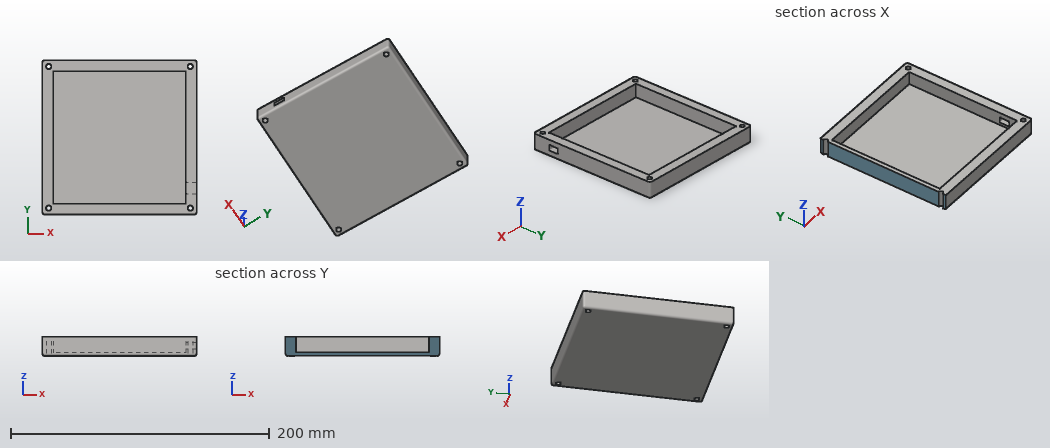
import cadquery as cq

side = 119.55
height = 15.0
edge_radius = 2.0

wall = 8.5
floor_thickness = 3.0
cavity_side = side - 2 * wall

screw_diameter = 3.9
screw_inset = 5.0
screw_pitch = side - 2 * screw_inset

port_width = 9.0
port_height = 5.0
port_center_y = -39.2
port_bottom_z = 5.5
port_corner_radius = 0.7


def make_body():
    """Square block with rounded upright and bottom edges."""
    block = cq.Workplane("XY").box(side, side, height, centered=(True, True, False))
    return block.edges("|Z").fillet(edge_radius).faces("<Z").edges().fillet(edge_radius)


def make_cavity():
    """Square pocket, open at the top."""
    return (
        cq.Workplane("XY")
        .workplane(offset=floor_thickness)
        .rect(cavity_side, cavity_side)
        .extrude(height - floor_thickness)
    )


def make_screw_holes():
    """Through holes, one in each corner."""
    return (
        cq.Workplane("XY")
        .rect(screw_pitch, screw_pitch, forConstruction=True)
        .vertices()
        .circle(screw_diameter / 2)
        .extrude(height)
    )


def make_port():
    """Rounded rectangular opening through the +X wall."""
    return (
        cq.Workplane("YZ")
        .workplane(offset=cavity_side / 2)
        .center(port_center_y, port_bottom_z + port_height / 2)
        .rect(port_width, port_height)
        .extrude(wall)
        .edges("|X")
        .fillet(port_corner_radius)
    )


result = make_body().cut(make_cavity()).cut(make_screw_holes()).cut(make_port())